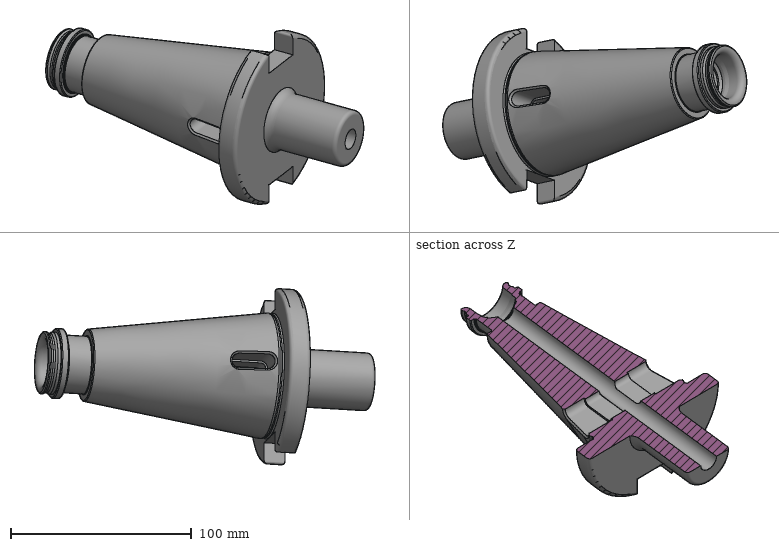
import cadquery as cq
import math


total_length = 186.8
collar_start = 7.0
collar_end = 11.2
collar_shoulder_end = 11.8
taper_start = 25.0
gauge_plane = 127.0
flange_front = 130.0
flange_back = 142.0
shank_root_end = 147.0

taper_slope = 3.5 / 24
nose_radius = 17.4
nose_groove_radius = 16.6
collar_radius = 19.5
collar_shoulder_radius = 17.0
neck_radius = 16.0
gauge_radius = 35.0
relief_radius = 34.4
flange_radius = 48.8
shank_radius = 16.0

nose_chamfer = 0.7
collar_chamfer = 0.5
neck_blend = 0.4
taper_chamfer = 0.5
flange_fillet = 2.2
shank_end_fillet = 2.2
shank_root_fillet = 6.4
mouth_fillet = 3.4

nose_groove_start = 1.5
nose_groove_end = 5.2
nose_groove_flank = 1.3

relief_flank = 1.3
relief_floor = 0.7

through_radius = 5.8
pilot_radius = 10.5
pilot_depth = 15.7
counterbore_radius = 12.5
counterbore_depth = 9.0
inner_step_radius = 12.0
inner_step_start = 11.2
inner_step_end = 13.3
drill_tip_angle = 118.0

drive_slot_width = 25.5
drive_slot_floor = gauge_radius
drive_slot_corner_fillet = 1.1

cross_slot_center = 113.2
cross_slot_pocket_length = 23.7
cross_slot_pocket_width = 8.4
cross_slot_step = 1.1
cross_slot_floor = 16.0
cross_slot_chamfer = 1.1
rim_margin = 0.2


def taper_radius(x):
    """Radius of the taper at station x."""
    return gauge_radius - (gauge_plane - x) * taper_slope


def turned_body():
    """Solid of revolution: nose, collar, neck, taper, flange and plain shank."""
    chamfer_end = taper_start + taper_chamfer
    root_axis_radius = shank_radius + shank_root_fillet
    root_run = shank_root_end - flange_back
    root_start_radius = root_axis_radius - math.sqrt(shank_root_fillet**2 - root_run**2)
    profile = (
        cq.Workplane("XZ")
        .moveTo(0, 0)
        .lineTo(0, nose_radius - nose_chamfer)
        .lineTo(nose_chamfer, nose_radius)
        .lineTo(nose_groove_start, nose_radius)
        .lineTo(nose_groove_start + nose_groove_flank, nose_groove_radius)
        .lineTo(nose_groove_end - nose_groove_flank, nose_groove_radius)
        .lineTo(nose_groove_end, nose_radius)
        .lineTo(collar_start, nose_radius)
        .lineTo(collar_start, collar_radius - collar_chamfer)
        .lineTo(collar_start + collar_chamfer, collar_radius)
        .lineTo(collar_end - collar_chamfer, collar_radius)
        .lineTo(collar_end, collar_radius - collar_chamfer)
        .lineTo(collar_end, collar_shoulder_radius)
        .lineTo(collar_shoulder_end, collar_shoulder_radius)
        .lineTo(collar_shoulder_end, neck_radius + neck_blend)
        .lineTo(collar_shoulder_end + neck_blend, neck_radius)
        .lineTo(taper_start - neck_blend, neck_radius)
        .lineTo(taper_start, neck_radius + neck_blend)
        .lineTo(taper_start, taper_radius(chamfer_end) - taper_chamfer)
        .lineTo(chamfer_end, taper_radius(chamfer_end))
        .lineTo(gauge_plane, gauge_radius)
        .lineTo(gauge_plane + relief_flank, relief_radius)
        .lineTo(gauge_plane + relief_flank + relief_floor, relief_radius)
        .lineTo(flange_front, gauge_radius)
        .lineTo(flange_front, flange_radius - flange_fillet)
        .radiusArc((flange_front + flange_fillet, flange_radius), flange_fillet)
        .lineTo(flange_back - flange_fillet, flange_radius)
        .radiusArc((flange_back, flange_radius - flange_fillet), flange_fillet)
        .lineTo(flange_back, root_start_radius)
        .radiusArc((shank_root_end, shank_radius), -shank_root_fillet)
        .lineTo(total_length - shank_end_fillet, shank_radius)
        .radiusArc((total_length, shank_radius - shank_end_fillet), shank_end_fillet)
        .lineTo(total_length, 0)
        .close()
    )
    return profile.revolve(360, (0, 0, 0), (1, 0, 0))


def bore():
    """Stepped hole along the axis with a rounded mouth at the nose."""
    mouth_radius = counterbore_radius + mouth_fillet
    pilot_start = inner_step_end + inner_step_radius - pilot_radius
    tip_length = (pilot_radius - through_radius) / math.tan(math.radians(drill_tip_angle / 2))
    profile = (
        cq.Workplane("XZ")
        .moveTo(0, 0)
        .lineTo(0, mouth_radius)
        .radiusArc((mouth_fillet, counterbore_radius), -mouth_fillet)
        .lineTo(counterbore_depth, counterbore_radius)
        .lineTo(inner_step_start, inner_step_radius)
        .lineTo(inner_step_end, inner_step_radius)
        .lineTo(pilot_start, pilot_radius)
        .lineTo(pilot_depth, pilot_radius)
        .lineTo(pilot_depth + tip_length, through_radius)
        .lineTo(total_length, through_radius)
        .lineTo(total_length, 0)
        .close()
    )
    return profile.revolve(360, (0, 0, 0), (1, 0, 0))


def cut_cross_slot(body):
    """Through slot along Y, widened into a pocket with a chamfered rim on both sides."""
    narrow_length = cross_slot_pocket_length - 2 * cross_slot_step
    narrow_width = cross_slot_pocket_width - 2 * cross_slot_step
    base = cq.Workplane("XZ").center(cross_slot_center, 0)
    body = body.cut(base.slot2D(narrow_length, narrow_width).extrude(flange_radius, both=True))
    for side in (-1, 1):
        pocket = (
            base.workplane(offset=side * cross_slot_floor)
            .slot2D(cross_slot_pocket_length, cross_slot_pocket_width)
            .extrude(side * flange_radius)
        )
        body = body.cut(pocket)
    half_length = cross_slot_pocket_length / 2 + rim_margin
    half_width = cross_slot_pocket_width / 2 + rim_margin
    inner_limit = (cross_slot_floor + taper_radius(taper_start)) / 2
    for side in (-1, 1):
        rim = cq.selectors.BoxSelector(
            (cross_slot_center - half_length, side * inner_limit, -half_width),
            (cross_slot_center + half_length, side * flange_radius, half_width),
            boundingbox=True,
        )
        body = body.edges(rim).chamfer(cross_slot_chamfer)
    return body


def cut_drive_slots(body):
    """Two square notches across the flange rim, with rounded outer corners."""
    half_width = drive_slot_width / 2
    corner_y = half_width + drive_slot_corner_fillet
    corner_ring = flange_radius - drive_slot_corner_fillet
    corner_z = math.sqrt(corner_ring**2 - corner_y**2)
    rim_y = corner_y * flange_radius / corner_ring
    rim_z = corner_z * flange_radius / corner_ring
    notch = (
        cq.Workplane("YZ", origin=(flange_front, 0, 0))
        .moveTo(-half_width, drive_slot_floor)
        .lineTo(half_width, drive_slot_floor)
        .lineTo(half_width, corner_z)
        .radiusArc((rim_y, rim_z), drive_slot_corner_fillet)
        .lineTo(rim_y, flange_radius)
        .lineTo(-rim_y, flange_radius)
        .lineTo(-rim_y, rim_z)
        .radiusArc((-half_width, corner_z), drive_slot_corner_fillet)
        .close()
        .extrude(flange_back - flange_front)
    )
    return body.cut(notch).cut(notch.mirror("XY"))


result = cut_drive_slots(cut_cross_slot(turned_body().cut(bore())))